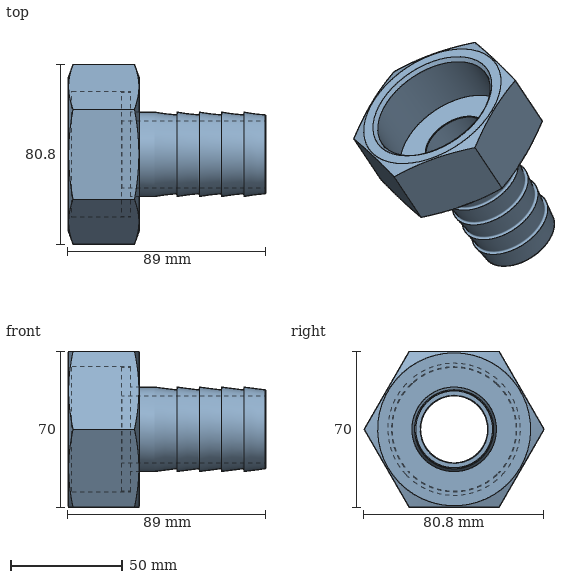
import cadquery as cq
import math


NUT_LENGTH = 32.0
ACROSS_FLATS = 70.0
NUT_FACE_DIAMETER = 68.7
CORNER_CHAMFER_ANGLE = 20.0
BORE_DIAMETER = 56.25
BORE_MOUTH_DIAMETER = 59.45
BORE_MOUTH_DEPTH = 1.6
BORE_DEPTH = 28.0

TAIL_END = 89.0
HOLE_DIAMETER = 30.1
HOLE_CHAMFER = 0.3
FLANGE_DIAMETER = 55.7
FLANGE_FACE = 24.0
NECK_DIAMETER = 38.0
BARB_COUNT = 5
BARBS_START = 39.0
BARB_VALLEY_DIAMETER = 35.4
VALLEY_FILLET_REACH = 0.7
TIP_CHAMFER = 0.5

CORNER_DIAMETER = ACROSS_FLATS / math.cos(math.radians(30))
BARB_PITCH = (TAIL_END - BARBS_START) / BARB_COUNT


def revolve_about_x(outline):
    """Turn a closed outline, drawn as x and radius, about the X axis."""
    return outline.revolve(360, (0, 0, 0), (1, 0, 0))


def make_corner_chamfer_envelope():
    """Drum with coned ends that trims the corners of the hexagon."""
    face_radius = NUT_FACE_DIAMETER / 2
    corner_radius = CORNER_DIAMETER / 2
    chamfer_length = (corner_radius - face_radius) * math.tan(math.radians(CORNER_CHAMFER_ANGLE))
    points = [
        (0, 0),
        (0, face_radius),
        (chamfer_length, corner_radius),
        (NUT_LENGTH - chamfer_length, corner_radius),
        (NUT_LENGTH, face_radius),
        (NUT_LENGTH, 0),
    ]
    return revolve_about_x(cq.Workplane("XZ").polyline(points).close())


def make_nut_bore():
    """Chamfered bore for the flange, then the smaller hole for the neck."""
    points = [
        (0, 0),
        (0, BORE_MOUTH_DIAMETER / 2),
        (BORE_MOUTH_DEPTH, BORE_DIAMETER / 2),
        (BORE_DEPTH, BORE_DIAMETER / 2),
        (BORE_DEPTH, NECK_DIAMETER / 2),
        (NUT_LENGTH, NECK_DIAMETER / 2),
        (NUT_LENGTH, 0),
    ]
    return revolve_about_x(cq.Workplane("XZ").polyline(points).close())


def make_nut():
    """Hexagon with corners pointing along Y and flats facing up and down."""
    hexagon = cq.Workplane("YZ").polygon(6, CORNER_DIAMETER).extrude(NUT_LENGTH)
    return hexagon.intersect(make_corner_chamfer_envelope()).cut(make_nut_bore())


def make_tail_outline():
    """Closed half section of the tail: flange, neck, barbs, tip and hole."""
    hole_radius = HOLE_DIAMETER / 2
    neck_radius = NECK_DIAMETER / 2
    valley_radius = BARB_VALLEY_DIAMETER / 2
    taper_angle = math.atan2(neck_radius - valley_radius, BARB_PITCH)
    fillet_length = VALLEY_FILLET_REACH * math.cos(taper_angle)
    fillet_rise = VALLEY_FILLET_REACH * math.sin(taper_angle)
    tip_rise = TIP_CHAMFER * math.tan(taper_angle)

    outline = (
        cq.Workplane("XZ")
        .moveTo(FLANGE_FACE + HOLE_CHAMFER, hole_radius)
        .lineTo(FLANGE_FACE, hole_radius + HOLE_CHAMFER)
        .lineTo(FLANGE_FACE, FLANGE_DIAMETER / 2)
        .lineTo(BORE_DEPTH, FLANGE_DIAMETER / 2)
        .lineTo(BORE_DEPTH, neck_radius)
        .lineTo(BARBS_START, neck_radius)
    )
    for barb in range(1, BARB_COUNT):
        step = BARBS_START + barb * BARB_PITCH
        outline = (
            outline
            .lineTo(step - fillet_length, valley_radius + fillet_rise)
            .tangentArcPoint((step, valley_radius + VALLEY_FILLET_REACH), relative=False)
            .lineTo(step, neck_radius)
        )
    return (
        outline
        .lineTo(TAIL_END - TIP_CHAMFER, valley_radius + tip_rise)
        .lineTo(TAIL_END, valley_radius + tip_rise - TIP_CHAMFER)
        .lineTo(TAIL_END, hole_radius)
        .close()
    )


def make_hose_tail():
    """Flanged tube whose neck runs through the nut into a barbed end."""
    return revolve_about_x(make_tail_outline())


nut = make_nut()
hose_tail = make_hose_tail()
result = cq.Compound.makeCompound([nut.val(), hose_tail.val()])